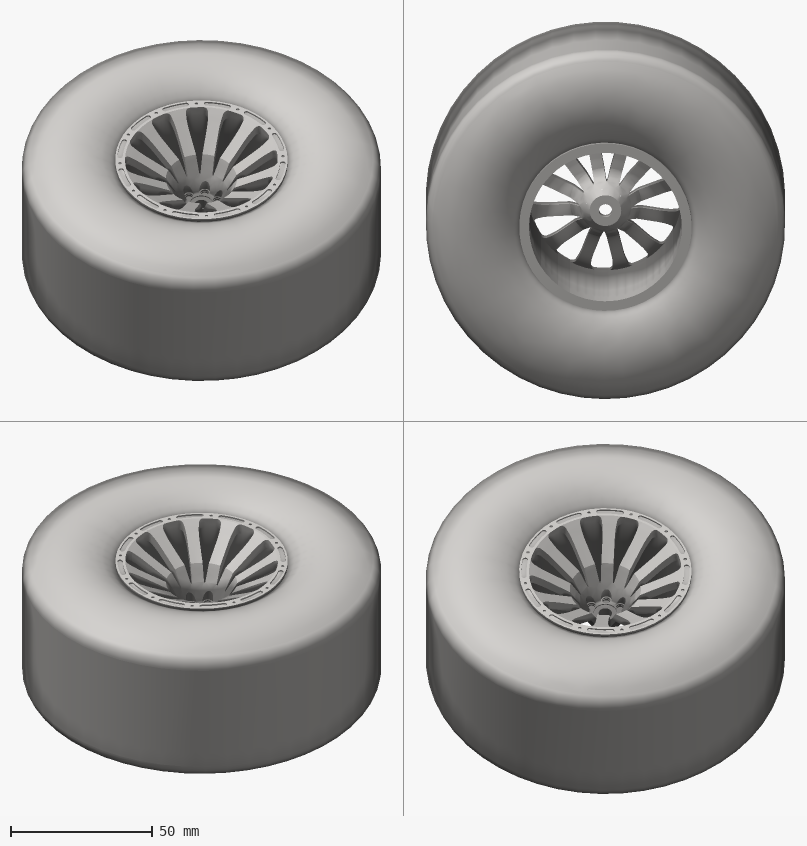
import cadquery as cq
import math

TIRE_RADIUS = 63.5
TREAD_HALF_WIDTH = 20.5
SHOULDER_RADIUS = 60.5
SHOULDER_HALF_WIDTH = 25.3
CREST_RADIUS = 46.7
CREST_HALF_WIDTH = 29.5
BEAD_HALF_WIDTH = 23.5

RIM_RADIUS = 30.5
RIM_HALF_WIDTH = 24.8
RING_INNER_RADIUS = 54.0 / 2
SPOKE_COUNT = 12
SPOKE_STEP = 360 / SPOKE_COUNT

RING_HOLE_DIAMETER = 1.2
RING_HOLE_CIRCLE_RADIUS = 28.8
RING_POCKET_DEPTH = 0.6
SLOT_CIRCLE_RADIUS = 28.8
SLOT_WIDTH = 1.9
SLOT_LENGTH = 9.8

BEND_RADIUS = 12.6
OUTER_CONE_ANGLE = 32.8
INNER_CONE_ANGLE = 60.0
FLOOR_RADIUS = 5.6
FLOOR_FILLET = 0.8
DISC_THICKNESS = 3.8

SPOKE_HALF_WIDTH = 2.2
FLARE_START = 20.3
FLARE_RADIUS = 22.9
WINDOW_TIP_FILLET = 0.3
WINDOW_CORNER_FILLET = 1.7

BORE_DIAMETER = 4.7
HUB_RECESS_DIAMETER = 8.3
HUB_RECESS_DEPTH = 0.4
BOLT_COUNT = 6
FIRST_BOLT_ANGLE = 30
BOLT_CIRCLE_RADIUS = 5.8
BOLT_POCKET_DIAMETER = 3.8
BOLT_STEPS = [(2.9, 0.6), (2.5, 1.3)]

BEND_Z = RIM_HALF_WIDTH - (RING_INNER_RADIUS - BEND_RADIUS) * math.tan(math.radians(OUTER_CONE_ANGLE))
FLOOR_Z = BEND_Z - (BEND_RADIUS - FLOOR_RADIUS) * math.tan(math.radians(INNER_CONE_ANGLE))


def polar(radius, angle):
    a = math.radians(angle)
    return (radius * math.cos(a), radius * math.sin(a))


def cylinder(diameter, bottom, top):
    return cq.Workplane("XY").workplane(offset=bottom).circle(diameter / 2).extrude(top - bottom)


def around_axis(shape, count, first_angle=0):
    """Solids of `count` copies of a shape, evenly spaced about Z."""
    return [
        shape.rotate((0, 0, 0), (0, 0, 1), first_angle + i * 360 / count).val()
        for i in range(count)
    ]


def shoulder_middle(side):
    """Point halfway along a shoulder arc that is tangent to the tread; side is +1 or -1."""
    drop = TIRE_RADIUS - SHOULDER_RADIUS
    rise = SHOULDER_HALF_WIDTH - TREAD_HALF_WIDTH
    arc_angle = 2 * math.atan2(drop, rise)
    arc_radius = rise / math.sin(arc_angle)
    center_radius = TIRE_RADIUS - arc_radius
    return (
        center_radius + arc_radius * math.cos(arc_angle / 2),
        side * (TREAD_HALF_WIDTH + arc_radius * math.sin(arc_angle / 2)),
    )


def make_tire():
    profile = (
        cq.Workplane("XZ")
        .moveTo(RIM_RADIUS, -BEAD_HALF_WIDTH)
        .threePointArc((CREST_RADIUS, -CREST_HALF_WIDTH), (SHOULDER_RADIUS, -SHOULDER_HALF_WIDTH))
        .threePointArc(shoulder_middle(-1), (TIRE_RADIUS, -TREAD_HALF_WIDTH))
        .lineTo(TIRE_RADIUS, TREAD_HALF_WIDTH)
        .threePointArc(shoulder_middle(1), (SHOULDER_RADIUS, SHOULDER_HALF_WIDTH))
        .threePointArc((CREST_RADIUS, CREST_HALF_WIDTH), (RIM_RADIUS, BEAD_HALF_WIDTH))
        .close()
    )
    return profile.revolve(360, (0, 0, 0), (0, 1, 0))


def make_rim_blank():
    """Barrel, ring and dished disc as one revolved solid, before any cuts."""
    slope = math.radians(INNER_CONE_ANGLE)
    tangent = FLOOR_FILLET * math.tan(slope / 2)
    fillet_end = (FLOOR_RADIUS + tangent * math.cos(slope), FLOOR_Z + tangent * math.sin(slope))
    profile = (
        cq.Workplane("XZ")
        .moveTo(0, FLOOR_Z)
        .lineTo(FLOOR_RADIUS - tangent, FLOOR_Z)
        .tangentArcPoint(fillet_end, relative=False)
        .lineTo(BEND_RADIUS, BEND_Z)
        .lineTo(RING_INNER_RADIUS, RIM_HALF_WIDTH)
        .lineTo(RIM_RADIUS, RIM_HALF_WIDTH)
        .lineTo(RIM_RADIUS, -RIM_HALF_WIDTH)
        .lineTo(RING_INNER_RADIUS, -RIM_HALF_WIDTH)
        .lineTo(RING_INNER_RADIUS, RIM_HALF_WIDTH - DISC_THICKNESS)
        .lineTo(BEND_RADIUS, BEND_Z - DISC_THICKNESS)
        .lineTo(FLOOR_RADIUS, FLOOR_Z - DISC_THICKNESS)
        .lineTo(0, FLOOR_Z - DISC_THICKNESS)
        .close()
    )
    blank = profile.revolve(360, (0, 0, 0), (0, 1, 0))
    return blank.rotate((0, 0, 0), (0, 0, 1), SPOKE_STEP / 2)


def mirror_in_window(point):
    """Mirror a point in the centre line of the first window."""
    a = math.radians(SPOKE_STEP)
    x, y = point
    return (x * math.cos(a) + y * math.sin(a), x * math.sin(a) - y * math.cos(a))


def flare_point(x):
    """Point on the arc that widens a spoke towards the ring."""
    return (x, SPOKE_HALF_WIDTH + FLARE_RADIUS - math.sqrt(FLARE_RADIUS**2 - (x - FLARE_START) ** 2))


def flare_corner():
    """Point where the flare arc crosses the inner circle of the ring."""
    center_y = SPOKE_HALF_WIDTH + FLARE_RADIUS
    distance = math.hypot(FLARE_START, center_y)
    along = (RING_INNER_RADIUS**2 - FLARE_RADIUS**2 + distance**2) / (2 * distance)
    angle = math.atan2(center_y, FLARE_START) - math.acos(along / RING_INNER_RADIUS)
    return polar(RING_INNER_RADIUS, math.degrees(angle))


def nearest_edge(point):
    return cq.selectors.NearestToPointSelector((point[0], point[1], 0))


def make_window():
    """Cutter for the opening between the spoke on +X and the next one."""
    half_step = SPOKE_STEP / 2
    tip = polar(SPOKE_HALF_WIDTH / math.sin(math.radians(half_step)), half_step)
    start = (FLARE_START, SPOKE_HALF_WIDTH)
    corner = flare_corner()
    middle = flare_point((FLARE_START + corner[0]) / 2)
    window = (
        cq.Workplane("XY")
        .workplane(offset=-RIM_HALF_WIDTH)
        .moveTo(*tip)
        .lineTo(*start)
        .threePointArc(middle, corner)
        .threePointArc(polar(RING_INNER_RADIUS, half_step), mirror_in_window(corner))
        .threePointArc(mirror_in_window(middle), mirror_in_window(start))
        .close()
        .extrude(2 * RIM_HALF_WIDTH)
    )
    window = window.edges(nearest_edge(tip)).fillet(WINDOW_TIP_FILLET)
    for point in (corner, mirror_in_window(corner)):
        window = window.edges(nearest_edge(point)).fillet(WINDOW_CORNER_FILLET)
    return window


def make_slot():
    """Cutter for a shallow curved slot in the ring face, centred on +X."""
    end = math.degrees(math.asin((SLOT_LENGTH - SLOT_WIDTH) / 2 / SLOT_CIRCLE_RADIUS))
    tip = end + math.degrees(SLOT_WIDTH / 2 / SLOT_CIRCLE_RADIUS)
    inner = SLOT_CIRCLE_RADIUS - SLOT_WIDTH / 2
    outer = SLOT_CIRCLE_RADIUS + SLOT_WIDTH / 2
    return (
        cq.Workplane("XY")
        .workplane(offset=RIM_HALF_WIDTH - RING_POCKET_DEPTH)
        .moveTo(*polar(inner, -end))
        .threePointArc(polar(inner, 0), polar(inner, end))
        .threePointArc(polar(SLOT_CIRCLE_RADIUS, tip), polar(outer, end))
        .threePointArc(polar(outer, 0), polar(outer, -end))
        .threePointArc(polar(SLOT_CIRCLE_RADIUS, -tip), polar(inner, -end))
        .close()
        .extrude(RING_POCKET_DEPTH)
    )


def make_ring_hole():
    hole = cylinder(RING_HOLE_DIAMETER, RIM_HALF_WIDTH - RING_POCKET_DEPTH, RIM_HALF_WIDTH)
    return hole.translate((RING_HOLE_CIRCLE_RADIUS, 0, 0))


def make_bolt_hole():
    """Cutter for a pocket in the steep cone with a stepped blind hole in its floor."""
    bolt_hole = cylinder(BOLT_POCKET_DIAMETER, FLOOR_Z, BEND_Z)
    for diameter, depth in BOLT_STEPS:
        bolt_hole = bolt_hole.union(cylinder(diameter, FLOOR_Z - depth, FLOOR_Z))
    return bolt_hole.translate((BOLT_CIRCLE_RADIUS, 0, 0))


def make_hub_bore():
    recess = cylinder(HUB_RECESS_DIAMETER, FLOOR_Z - HUB_RECESS_DEPTH, FLOOR_Z)
    return recess.union(cylinder(BORE_DIAMETER, -RIM_HALF_WIDTH, RIM_HALF_WIDTH))


def make_rim():
    cutters = around_axis(make_window(), SPOKE_COUNT)
    cutters += around_axis(make_slot(), SPOKE_COUNT)
    cutters += around_axis(make_ring_hole(), SPOKE_COUNT, SPOKE_STEP / 2)
    cutters += around_axis(make_bolt_hole(), BOLT_COUNT, FIRST_BOLT_ANGLE)
    cutters.append(make_hub_bore().val())
    return cq.Workplane(make_rim_blank().val().cut(*cutters))


tire = make_tire()
rim = make_rim()
result = cq.Compound.makeCompound([tire.val(), rim.val()])